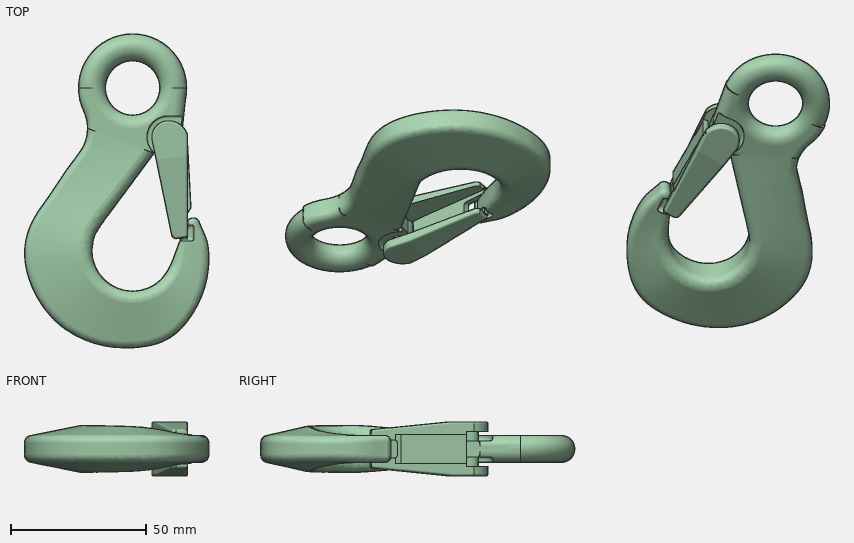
import cadquery as cq
import math

EYE_Y = 60.0
EYE_RING_R = 15.0
EYE_WIRE_R = 5.0
EYE_OUTER_R = EYE_RING_R + EYE_WIRE_R
EYE_FLANK_ANGLE = 193.0

BOWL_R = 15.0
FLAT_Z = 5.0
NECK_R = 15.0
NECK_CENTER_Y = 45.1
NECK_FOOT = (18.4, 45.0)
SHANK_ANGLE = 53.5
INNER_SHANK_LENGTH = 33.6
POINT_ANGLE = 69.0
OUTER_EDGE_R = 2.8
INNER_EDGE_R = 3.7
SWELL_OUTER_Z = 4.5
RIGHT_NECK_EDGE_R = 4.0

PIVOT = (13.1, 41.9)
PIN_R = 2.5
LUG_R = 5.0
LUG_Z = 3.0
LUG_POCKET_R = 7.8
POCKET_FLOOR_R = 1.0
SEAT_FLOOR_R = 1.6

POINT_CENTER = (22.4, 9.6)
POINT_R = 2.45
POINT_TURN = 10.0
POINT_EDGE_R = 2.2

LATCH_TOP_Z = 10.0
LATCH_END_Z = 7.05
CHEEK_THICKNESS = 3.6
CHEEK_END_THICKNESS = 2.2
LATCH_BEND_Y = 34.0
LATCH_LEAN = 8.0
LATCH_END_Y = 4.3
LATCH_END_X = 14.7
LATCH_HEAD_R = 6.0
LATCH_BACK_X = 20.3
LATCH_SHOULDER_Y = 42.7
LATCH_SHOULDER = (18.0, 46.2)
LATCH_TOE_R = 2.0
CHEEK_EDGE_R = 0.8

WEB_THICKNESS = 2.0
WEB_INNER_X = LATCH_BACK_X - WEB_THICKNESS
WEB_TOP_Y = 40.0
WEB_TOP_Z = 7.5
WEB_END_Z = 5.5
WEB_HALF_Z = 5.4
WEB_CREST = (21.6, 15.8)
WEB_FOOT_Y = 13.8
SLOT_TOP_Y = 14.5
SLOT_HALF_Z = 3.3
SLOT_CORNER_R = 1.2

POCKET_X = 22.6
POCKET_BOTTOM_Y = 3.5
POCKET_TOP_Y = 9.5
SEAT_GAP_X = 20.5
TALL = 40.0


def polar(radius, degrees):
    angle = math.radians(degrees)
    return (radius * math.cos(angle), radius * math.sin(angle))


def along(start, length, degrees):
    step = polar(length, degrees)
    return (start[0] + step[0], start[1] + step[1])


neck_center = (-math.sqrt((EYE_OUTER_R + NECK_R) ** 2 - (EYE_Y - NECK_CENTER_Y) ** 2), NECK_CENTER_Y)
eye_share = EYE_OUTER_R / (EYE_OUTER_R + NECK_R)
neck_start = (neck_center[0] * eye_share, EYE_Y + (NECK_CENTER_Y - EYE_Y) * eye_share)
neck_start_angle = math.degrees(math.atan2(neck_start[1] - NECK_CENTER_Y, neck_start[0] - neck_center[0]))
neck_narrow = along(neck_center, NECK_R, 0)
neck_end_angle = SHANK_ANGLE - 90
neck_end = along(neck_center, NECK_R, neck_end_angle)

shank_back_angle = SHANK_ANGLE + 90
inner_shank_foot = polar(BOWL_R, shank_back_angle)
inner_shank_head = along(inner_shank_foot, INNER_SHANK_LENGTH, SHANK_ANGLE)
lug_start = along(PIVOT, LUG_R, -100)


def neck_hollow(share):
    """Point on the neck hollow, from its narrowest place (0) to the shank (1)."""
    return along(neck_center, NECK_R, share * neck_end_angle)


def shank_back(distance):
    return along(neck_end, distance, SHANK_ANGLE + 180)


def shank_front(distance):
    return along(inner_shank_head, distance, SHANK_ANGLE + 180)


neck_stations = [
    (inner_shank_head, neck_narrow, FLAT_Z, FLAT_Z, INNER_EDGE_R),
    (shank_front(3), neck_hollow(0.25), 5.2, FLAT_Z, INNER_EDGE_R),
    (shank_front(7), neck_hollow(0.5), 5.6, FLAT_Z, INNER_EDGE_R),
    (shank_front(11.5), neck_hollow(0.75), 6.1, FLAT_Z, INNER_EDGE_R),
    (shank_front(16), neck_end, 6.6, FLAT_Z, INNER_EDGE_R),
    (shank_front(25), shank_back(9), 7.6, 4.8, INNER_EDGE_R),
]
bowl_shape = [
    (shank_back_angle, 36.8, 8.6),
    (165, 38.7, 9.2),
    (180, 39.9, 9.5),
    (202.5, 39.4, 9.5),
    (225, 38.5, 9.5),
    (247.5, 37.1, 9.4),
    (270, 35.95, 9.2),
    (292.5, 35.1, 8.4),
    (315, 32.0, 7.0),
    (POINT_ANGLE + 270, 29.4, 5.8),
]
point_stations = [
    ((16.1, 0), (28.1, 0), FLAT_Z, FLAT_Z, 2.8),
    ((18.0, 5), (27.0, 5), FLAT_Z, FLAT_Z, 2.5),
    (along(POINT_CENTER, POINT_R, POINT_TURN + 180), along(POINT_CENTER, POINT_R, POINT_TURN),
     FLAT_Z, FLAT_Z, POINT_EDGE_R),
]


def section(inner, outer, inner_z, outer_z, inner_r, outer_r):
    """Upright closed section from inner to outer plan point with four rounded corners."""
    width = math.dist(inner, outer)
    heading = math.degrees(math.atan2(outer[1] - inner[1], outer[0] - inner[0]))
    slope = math.degrees(math.atan2(inner_z - outer_z, width))
    inner_run = inner_r / math.tan(math.radians((90 - slope) / 2))
    outer_run = outer_r / math.tan(math.radians((90 + slope) / 2))
    top_inner = along((0, inner_z), inner_run, -slope)
    top_outer = along((width, outer_z), outer_run, 180 - slope)
    inner_mid = along((inner_r, inner_z - inner_run), inner_r, (270 - slope) / 2)
    outer_mid = along((width - outer_r, outer_z - outer_run), outer_r, (90 - slope) / 2)
    wall_inner = (0, inner_z - inner_run)
    wall_outer = (width, outer_z - outer_run)

    def place(point, side):
        plan = along(inner, point[0], heading)
        return cq.Vector(plan[0], plan[1], side * point[1])

    def arc(start, middle, end, side):
        return cq.Edge.makeThreePointArc(place(start, side), place(middle, side), place(end, side))

    return cq.Wire.assembleEdges([
        arc(wall_inner, inner_mid, top_inner, 1),
        cq.Edge.makeLine(place(top_inner, 1), place(top_outer, 1)),
        arc(top_outer, outer_mid, wall_outer, 1),
        cq.Edge.makeLine(place(wall_outer, 1), place(wall_outer, -1)),
        arc(wall_outer, outer_mid, top_outer, -1),
        cq.Edge.makeLine(place(top_outer, -1), place(top_inner, -1)),
        arc(top_inner, inner_mid, wall_inner, -1),
        cq.Edge.makeLine(place(wall_inner, -1), place(wall_inner, 1)),
    ])


def hook_sweep():
    wires = [section(*station, OUTER_EDGE_R) for station in neck_stations]
    for degrees, outer_r, inner_z in bowl_shape:
        inner = polar(BOWL_R, degrees)
        outer = polar(outer_r, degrees)
        wires.append(section(inner, outer, inner_z, SWELL_OUTER_Z, INNER_EDGE_R, OUTER_EDGE_R))
    for station in point_stations:
        wires.append(section(*station, min(OUTER_EDGE_R, station[-1])))
    return cq.Workplane(cq.Solid.makeLoft(wires))


def point_end():
    return (
        cq.Workplane("XY").workplane(offset=-FLAT_Z).center(*POINT_CENTER)
        .circle(POINT_R).extrude(2 * FLAT_Z).edges().fillet(POINT_EDGE_R)
    )


def eye_ring():
    return cq.Workplane(cq.Solid.makeTorus(EYE_RING_R, EYE_WIRE_R, cq.Vector(0, EYE_Y, 0), cq.Vector(0, 0, 1)))


def neck_plate():
    plate = (
        cq.Workplane("XY").workplane(offset=-FLAT_Z)
        .moveTo(-EYE_OUTER_R, EYE_Y)
        .threePointArc(along((0, EYE_Y), EYE_OUTER_R, EYE_FLANK_ANGLE), neck_start)
        .threePointArc(along(neck_center, NECK_R, neck_start_angle / 2), neck_narrow)
        .lineTo(*inner_shank_head)
        .lineTo(*NECK_FOOT)
        .lineTo(EYE_OUTER_R, EYE_Y)
        .close().extrude(2 * FLAT_Z)
    )
    left = cq.selectors.BoxSelector((-EYE_OUTER_R, NECK_CENTER_Y, -TALL), (-EYE_RING_R, EYE_Y - 0.1, TALL))
    right = cq.selectors.BoxSelector((NECK_FOOT[0], NECK_FOOT[1], -TALL), (EYE_OUTER_R, EYE_Y - 0.1, TALL))
    plate = plate.faces("|Z").edges(left).fillet(OUTER_EDGE_R)
    plate = plate.faces("|Z").edges(right).fillet(RIGHT_NECK_EDGE_R)
    hole = cq.Workplane("XY").workplane(offset=-TALL / 2).center(0, EYE_Y).circle(EYE_RING_R).extrude(TALL)
    return plate.cut(hole)


def lug():
    return (
        cq.Workplane("XY").workplane(offset=-LUG_Z)
        .moveTo(*inner_shank_head)
        .lineTo(*lug_start)
        .threePointArc(along(PIVOT, LUG_R, -45), along(PIVOT, LUG_R, 0))
        .lineTo(*NECK_FOOT)
        .close().extrude(2 * LUG_Z)
    )


def latch_head_pocket():
    """Pocket above the lug for the upper latch cheek, open towards the back of the neck."""
    depth = TALL / 2 - LUG_Z
    round_part = cq.Workplane("XY").workplane(offset=LUG_Z).center(*PIVOT).circle(LUG_POCKET_R).extrude(depth)
    open_side = (
        cq.Workplane("XY").workplane(offset=LUG_Z).center(*PIVOT)
        .rect(2 * LUG_POCKET_R, LUG_POCKET_R, centered=(False, False)).extrude(depth)
    )
    return round_part.union(open_side).faces("<Z").edges().fillet(POCKET_FLOOR_R)


def latch_end_pocket():
    """Pocket that thins the point to a tongue where the latch closes against it."""
    depth = TALL / 2 - LUG_Z
    seat = (
        cq.Workplane("XY").workplane(offset=LUG_Z)
        .moveTo(BOWL_R, POCKET_BOTTOM_Y)
        .lineTo(POCKET_X, POCKET_BOTTOM_Y)
        .lineTo(POCKET_X, POCKET_TOP_Y)
        .lineTo(SEAT_GAP_X, POCKET_TOP_Y)
        .lineTo(SEAT_GAP_X, SLOT_TOP_Y)
        .lineTo(BOWL_R, SLOT_TOP_Y)
        .close().extrude(depth)
    )
    seat = seat.faces(">X").edges("|Z").fillet(POCKET_FLOOR_R)
    return seat.faces("<Z").edges(">X").fillet(SEAT_FLOOR_R)


def pivot_pin():
    return cq.Workplane("XY").workplane(offset=-LATCH_TOP_Z).center(*PIVOT).circle(PIN_R).extrude(2 * LATCH_TOP_Z)


hook = hook_sweep().union(neck_plate()).union(eye_ring()).union(point_end()).union(lug())
for pocket in (latch_head_pocket(), latch_end_pocket()):
    hook = hook.cut(pocket).cut(pocket.mirror("XY"))
hook = hook.cut(pivot_pin())


def tangent_to_head(start):
    """Point where the line from start touches the left side of the latch head."""
    distance = math.dist(start, PIVOT)
    heading = math.degrees(math.atan2(PIVOT[1] - start[1], PIVOT[0] - start[0]))
    heading += math.degrees(math.asin(LATCH_HEAD_R / distance))
    return along(start, math.sqrt(distance ** 2 - LATCH_HEAD_R ** 2), heading)


def upper_cheek():
    toe = (LATCH_END_X, LATCH_END_Y)
    plan = (
        cq.Workplane("XY")
        .moveTo(*toe)
        .lineTo(*tangent_to_head(toe))
        .threePointArc(along(PIVOT, LATCH_HEAD_R, 135), along(PIVOT, LATCH_HEAD_R, 90))
        .threePointArc(LATCH_SHOULDER, (LATCH_BACK_X, LATCH_SHOULDER_Y))
        .lineTo(LATCH_BACK_X, LATCH_END_Y)
        .close().extrude(TALL)
        .edges(cq.selectors.NearestToPointSelector((*toe, TALL / 2))).fillet(LATCH_TOE_R)
    )
    slab = (
        cq.Workplane("YZ").workplane(offset=-TALL)
        .polyline([(EYE_Y, LATCH_TOP_Z), (LATCH_BEND_Y, LATCH_TOP_Z),
                   (LATCH_END_Y, LATCH_END_Z), (LATCH_END_Y, LATCH_END_Z - CHEEK_END_THICKNESS),
                   (LATCH_BEND_Y, LATCH_TOP_Z - CHEEK_THICKNESS), (EYE_Y, LATCH_TOP_Z - CHEEK_THICKNESS)])
        .close().extrude(2 * TALL)
        .rotate((*PIVOT, 0), (*PIVOT, 1), LATCH_LEAN)
    )
    body = plan.intersect(slab)
    outside = [face for face in body.faces().vals() if face.normalAt().z > 0.9]
    crease = [edge for edge in outside[0].Edges() if any(edge.isSame(other) for other in outside[1].Edges())]
    rim = [edge for face in outside for edge in face.Edges() if not edge.isSame(crease[0])]
    return cq.Workplane(body.val().fillet(CHEEK_EDGE_R, rim))


def web():
    wall = (
        cq.Workplane("YZ").workplane(offset=WEB_INNER_X)
        .polyline([(WEB_TOP_Y, WEB_TOP_Z), (LATCH_BEND_Y, WEB_TOP_Z), (LATCH_END_Y, WEB_END_Z),
                   (LATCH_END_Y, -WEB_END_Z), (LATCH_BEND_Y, -WEB_TOP_Z), (WEB_TOP_Y, -WEB_TOP_Z)])
        .close().extrude(WEB_THICKNESS)
    )
    back = (
        cq.Workplane("XY").workplane(offset=-WEB_HALF_Z)
        .polyline([(WEB_INNER_X, WEB_TOP_Y), (LATCH_BACK_X, WEB_TOP_Y), WEB_CREST,
                   (LATCH_BACK_X, WEB_FOOT_Y), (WEB_INNER_X, WEB_FOOT_Y)])
        .close().extrude(2 * WEB_HALF_Z)
    )
    slot = (
        cq.Workplane("YZ").workplane(offset=PIVOT[0])
        .rect(2 * SLOT_TOP_Y, 2 * SLOT_HALF_Z).extrude(TALL).edges("|X").fillet(SLOT_CORNER_R)
    )
    return wall.union(back).cut(slot)


cheek = upper_cheek()
latch = web().union(cheek).union(cheek.mirror("XY"))
latch = latch.union(pivot_pin(), clean=False)

result = cq.Compound.makeCompound([hook.val(), latch.val()])